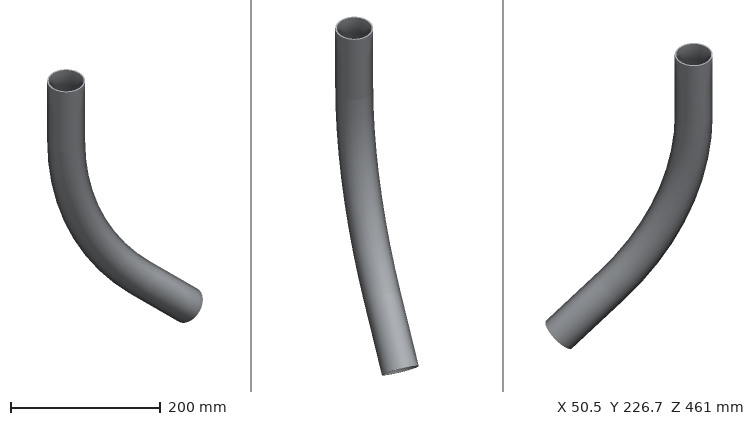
import cadquery as cq
import math

overall_height = 461.0
outer_diameter = 50.5
inner_diameter = 46.5
straight_length = 101.5
bend_angle = math.radians(45)

outer_radius = outer_diameter / 2
inner_radius = inner_diameter / 2
sin_bend = math.sin(bend_angle)
cos_bend = math.cos(bend_angle)

straights_height = straight_length * (1 + cos_bend)
rim_drop = outer_radius * sin_bend
bend_radius = (overall_height - straights_height - rim_drop) / sin_bend


def bend_point(angle):
    """(Y, Z) point on the bend centreline, which starts at the origin heading down."""
    return (bend_radius * (1 - math.cos(angle)), -bend_radius * math.sin(angle))


bend_end = bend_point(bend_angle)
tube_end = (
    bend_end[0] + straight_length * sin_bend,
    bend_end[1] - straight_length * cos_bend,
)
centreline = (
    cq.Workplane("YZ")
    .moveTo(0, straight_length)
    .lineTo(0, 0)
    .threePointArc(bend_point(bend_angle / 2), bend_end)
    .lineTo(*tube_end)
)

result = (
    cq.Workplane("XY")
    .workplane(offset=straight_length)
    .circle(outer_radius)
    .circle(inner_radius)
    .sweep(centreline)
)